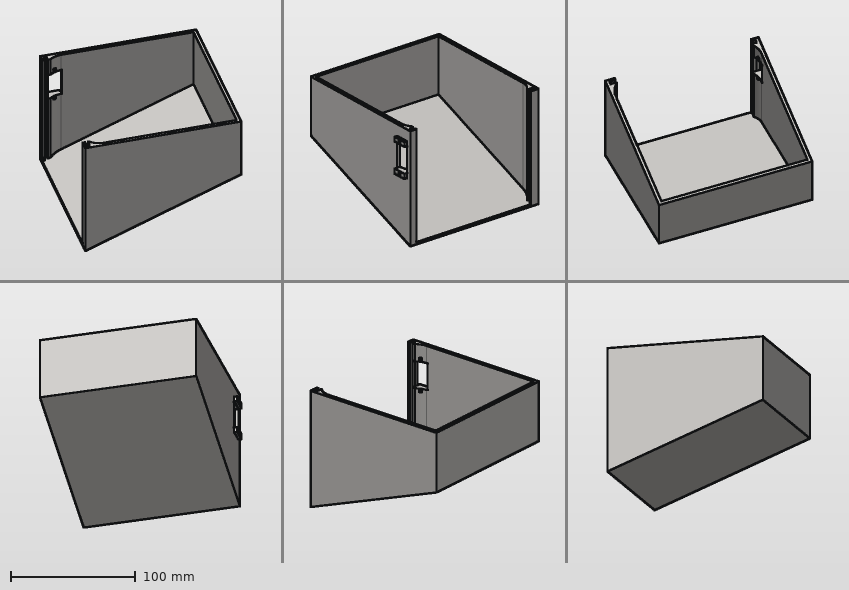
import cadquery as cq

side = 130.0
height = 102.0
back_rise = 49.5
wall = 3.0
floor = 2.1

left_post_width = 6.4
right_post_width = 8.0
flare_start = 16.3
flare_radius = 15.0

groove_front = 2.0
groove_back = 4.5

lug_reach = 132.5 - side
lug_back = 17.2
upper_lug_front = 4.1
lower_lug_front = 4.6
upper_lug_top = height - 10.6
upper_lug_bottom = height - 14.8
lower_lug_top = height - 38.7
lower_lug_bottom = height - 43.3
window_top = height - 15.2
hole_diameter = 2.3
hole_y = 10.9


def box(x0, x1, y0, y1, z0, z1):
    return cq.Workplane("XY").box(x1 - x0, y1 - y0, z1 - z0, centered=False).translate((x0, y0, z0))


def above_slope(lift):
    """Full-width wedge block whose sloping underside is raised by lift."""
    outline = [(0, lift), (side, back_rise + lift), (side, height), (0, height)]
    return cq.Workplane("YZ").polyline(outline).close().extrude(side)


def post(width):
    """Left-hand grooved post whose concave flare leaves the wall tangentially."""

    def flare_y(x):
        return flare_start - (flare_radius**2 - (wall + flare_radius - x) ** 2) ** 0.5

    middle_x = (wall + width) / 2
    profile = (
        cq.Workplane("XY")
        .lineTo(width, 0)
        .lineTo(width, flare_y(width))
        .threePointArc((middle_x, flare_y(middle_x)), (wall, flare_start))
        .lineTo(0, flare_start)
        .close()
        .extrude(height)
    )
    return profile.cut(box(wall, width, groove_front, groove_back, 0, height))


def lug(front, bottom, top):
    return box(-lug_reach, 0, front, lug_back, bottom, top)


def lug_hole(z):
    return (
        cq.Workplane("YZ", origin=(-lug_reach, hole_y, z))
        .circle(hole_diameter / 2)
        .extrude(lug_reach + left_post_width)
    )


right_post = post(right_post_width).mirror("YZ").translate((side, 0, 0))
posts = post(left_post_width).union(right_post)

cavity = box(wall, side - wall, 0, side - wall, 0, height).cut(posts)
result = above_slope(0).cut(above_slope(floor).intersect(cavity))

result = result.union(lug(upper_lug_front, upper_lug_bottom, upper_lug_top))
result = result.union(lug(lower_lug_front, lower_lug_bottom, lower_lug_top))
result = result.cut(box(0, left_post_width, lower_lug_front, lug_back, lower_lug_top, window_top))
for hole_z in ((upper_lug_top + upper_lug_bottom) / 2, (lower_lug_top + lower_lug_bottom) / 2):
    result = result.cut(lug_hole(hole_z))